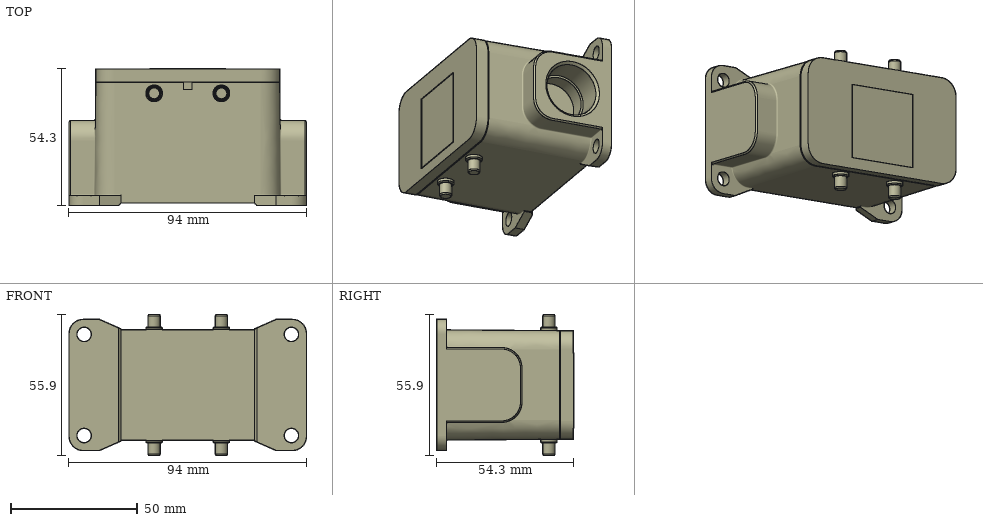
import cadquery as cq

overall_length = 94.0
overall_depth = 54.34
overall_height = 55.88

foot_bottom = -overall_depth / 2
foot_thickness = 4.0
foot_top = foot_bottom + foot_thickness
foot_standoff = 1.0
body_bottom = foot_bottom + foot_standoff
lid_bottom = 21.8
lid_pad_height = 0.25
lid_top = overall_depth / 2 - lid_pad_height

body_half_length = 36.45
body_half_height = 21.5
body_corner_radius = 7.5
body_draft = 0.45

lid_corner_radius = 7.1
lid_pad_size = 29.7
lid_pad_offset = -2.25

foot_half_height = 26.0
foot_corner_radius = 5.7
foot_shoulder = 35.0
foot_inner_end = 26.4
foot_inner_half_height = 22.2
foot_end_chamfer = foot_standoff
mount_hole_diameter = 5.6
mount_hole_x = 41.0
mount_hole_z = 20.0

boss_half_height = 14.8
boss_top = 6.6
boss_corner_radius = 8.0
boss_chamfer = 0.6
boss_root_radius = 0.5
boss_inner_end = 30.0

rim_chamfer = 0.25
foot_root_radius = 0.3
root_search_margin = 0.6

entry_y = -10.1
entry_diameter = 21.3
entry_depth = 13.0
entry_chamfer = 1.05
entry_inner_diameter = 19.5
entry_inner_depth = 20.0

notch_width = 3.2
notch_length = 3.1
notch_depth = 1.2

pin_x = 13.3
pin_y = 17.25
pin_diameter = 4.9
pin_tip_height = 0.6
pin_tip_inset = 0.3
pin_end = overall_height / 2
collar_diameter = 6.6
collar_top = 23.0
collar_chamfer = 0.45
pin_seat = 21.0


def level(y):
    """Workplane at height y, local x along X, local y along Z, normal towards -Y."""
    return cq.Workplane("XZ", origin=(0, y, 0))


def rounded_block(half_length, half_height, radius, top, bottom, draft=0.0):
    """Block with rounded corners, sized at its top and widening downwards by the draft."""
    outline = cq.Sketch().rect(2 * half_length, 2 * half_height).vertices().fillet(radius)
    return level(top).placeSketch(outline).extrude(top - bottom, taper=-draft)


def make_foot(side):
    """One mounting foot; side is -1 or +1 along X."""
    end = side * overall_length / 2
    shoulder = side * foot_shoulder
    inner = side * foot_inner_end
    foot = (
        level(foot_top)
        .moveTo(end, -foot_half_height)
        .lineTo(shoulder, -foot_half_height)
        .lineTo(inner, -foot_inner_half_height)
        .lineTo(inner, foot_inner_half_height)
        .lineTo(shoulder, foot_half_height)
        .lineTo(end, foot_half_height)
        .close()
        .extrude(foot_thickness)
    )
    outer, inward = (">X", "<X") if side > 0 else ("<X", ">X")
    foot = foot.faces(outer).edges("|Y").fillet(foot_corner_radius)
    return foot.faces("<Y").edges(inward).chamfer(foot_end_chamfer)


def make_boss(side):
    """One cable entry boss, rooted inside the body and the foot."""
    length = overall_length / 2 - boss_inner_end
    height = boss_top - body_bottom
    center = (side * (boss_inner_end + length / 2), body_bottom + height / 2, 0)
    boss = cq.Workplane("XY").box(length, height, 2 * boss_half_height).translate(center)
    boss = boss.faces(">Y").edges("|X").fillet(boss_corner_radius)
    return boss.faces(">X" if side > 0 else "<X").chamfer(boss_chamfer)


def boss_root_edges(side):
    """Selector for the edges where a boss meets the drafted end wall."""
    margin = root_search_margin
    near = (side * (body_half_length - margin), foot_top + margin, -boss_half_height - margin)
    far = (side * (body_half_length + margin), boss_top + margin, boss_half_height + margin)
    return cq.selectors.BoxSelector(near, far)


def foot_root_edges(side, end):
    """Selector for the edges where a foot meets one rounded corner of the body."""
    margin = root_search_margin
    near = (side * foot_inner_end, foot_top - foot_root_radius, end * (boss_half_height + margin))
    far = (side * (body_half_length + margin), foot_top + foot_root_radius, end * (body_half_height + margin))
    return cq.selectors.BoxSelector(near, far)


def cut_cable_entry(housing):
    """Blind stepped hole with a chamfered mouth in the -X boss."""
    face = -overall_length / 2
    mouth = entry_diameter / 2 + entry_chamfer
    bore = entry_diameter / 2
    inner = entry_inner_diameter / 2
    profile = (
        cq.Workplane("XY")
        .moveTo(face, entry_y)
        .lineTo(face, entry_y + mouth)
        .lineTo(face + entry_chamfer, entry_y + bore)
        .lineTo(face + entry_depth, entry_y + bore)
        .lineTo(face + entry_depth, entry_y + inner)
        .lineTo(face + entry_inner_depth, entry_y + inner)
        .lineTo(face + entry_inner_depth, entry_y)
        .close()
    )
    return housing.cut(profile.revolve(360, (0, entry_y, 0), (1, entry_y, 0)))


def cut_notch(housing):
    """Square notch in the middle of the +Z wall, open towards the lid."""
    notch = cq.Workplane("XY").box(notch_width, notch_length, 2 * notch_depth).translate(
        (0, lid_bottom - notch_length / 2, body_half_height)
    )
    return housing.cut(notch)


def make_housing(pins):
    """Drafted body with feet, bosses, entry hole, notch and recesses for the pin collars."""
    housing = rounded_block(
        body_half_length, body_half_height, body_corner_radius, lid_bottom, body_bottom, body_draft
    )
    for side in (-1, 1):
        housing = housing.union(make_foot(side)).union(make_boss(side))
    for side in (-1, 1):
        housing = housing.edges(boss_root_edges(side)).fillet(boss_root_radius)
        for end in (-1, 1):
            housing = housing.edges(foot_root_edges(side, end)).fillet(foot_root_radius)
    housing = housing.faces(">Y").chamfer(rim_chamfer)
    mount_holes = level(foot_top).rect(2 * mount_hole_x, 2 * mount_hole_z, forConstruction=True).vertices()
    housing = housing.cut(mount_holes.circle(mount_hole_diameter / 2).extrude(foot_thickness))
    housing = cut_notch(cut_cable_entry(housing))
    for pin in pins:
        housing = housing.cut(pin)
    return housing


def make_lid():
    """Cover plate with a shallow raised pad on its outer face."""
    lid = rounded_block(body_half_length, body_half_height, lid_corner_radius, lid_top, lid_bottom)
    pad = level(lid_top + lid_pad_height).center(0, lid_pad_offset).rect(lid_pad_size, lid_pad_size)
    return lid.union(pad.extrude(lid_pad_height))


def make_pin(x, side):
    """One locking pin with its collar, standing on the +Z or -Z wall."""
    pin_radius = pin_diameter / 2
    collar_radius = collar_diameter / 2
    profile = (
        cq.Workplane("XZ")
        .moveTo(0, pin_seat)
        .lineTo(collar_radius, pin_seat)
        .lineTo(collar_radius, collar_top - collar_chamfer)
        .lineTo(collar_radius - collar_chamfer, collar_top)
        .lineTo(pin_radius, collar_top)
        .lineTo(pin_radius, pin_end - pin_tip_height)
        .lineTo(pin_radius - pin_tip_inset, pin_end)
        .lineTo(0, pin_end)
        .close()
    )
    pin = profile.revolve(360, (0, 0, 0), (0, 1, 0))
    if side < 0:
        pin = pin.mirror("XY")
    return pin.translate((x, pin_y, 0))


pins = [make_pin(x, side) for x in (-pin_x, pin_x) for side in (-1, 1)]
housing = make_housing(pins)
lid = make_lid()
result = cq.Compound.makeCompound([housing.val(), lid.val(), *[pin.val() for pin in pins]])